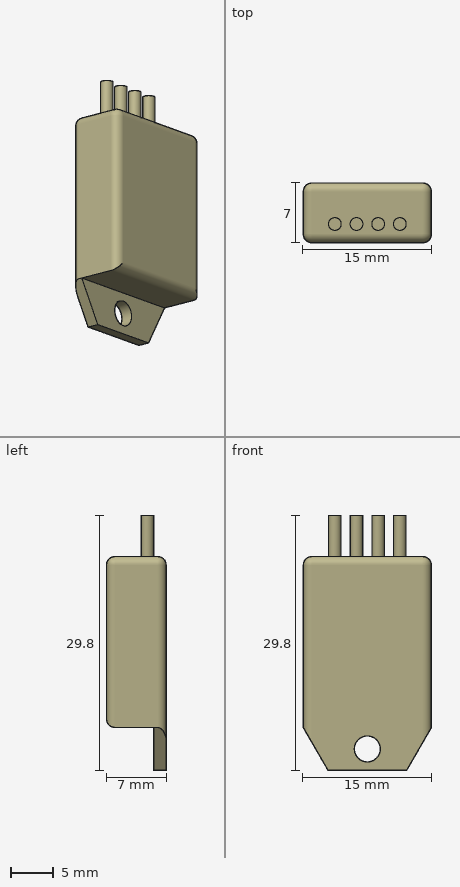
import cadquery as cq
import math

total_height = 29.8
body_width = 15.0
body_depth = 7.0
body_height = 20.0
edge_radius = 1.0

tab_height = 5.0
tab_thickness = 1.5
tab_taper_angle = 30.0
hole_diameter = 3.0
hole_height = 2.5

pin_count = 4
pin_diameter = 1.5
pin_pitch = 2.53
pin_setback = 2.2

body_top = tab_height + body_height
front_y = -body_depth / 2
back_y = body_depth / 2


def make_housing():
    """Box with a front plate running down below it, rounded on its outer edges."""
    profile = [
        (front_y, 0),
        (front_y, body_top),
        (back_y, body_top),
        (back_y, tab_height),
        (front_y + tab_thickness, tab_height),
        (front_y + tab_thickness, 0),
    ]
    block = (
        cq.Workplane("YZ")
        .polyline(profile)
        .close()
        .extrude(body_width / 2, both=True)
    )
    top_edges = block.faces(">Z").edges()
    back_edges = block.faces(">Y").edges()
    front_side_edges = block.faces("<Y").edges("|Z")
    return top_edges.add(back_edges).add(front_side_edges).fillet(edge_radius)


def make_front_outline():
    """Prism whose lower corners are tapered to shape the mounting tab."""
    half_width = body_width / 2
    half_tip = half_width - tab_height * math.tan(math.radians(tab_taper_angle))
    outline = [
        (-half_tip, 0),
        (half_tip, 0),
        (half_width, tab_height),
        (half_width, body_top),
        (-half_width, body_top),
        (-half_width, tab_height),
    ]
    return (
        cq.Workplane("XZ")
        .polyline(outline)
        .close()
        .extrude(body_depth / 2, both=True)
    )


def make_hole():
    """Round through hole in the mounting tab."""
    return (
        cq.Workplane("XZ", origin=(0, 0, hole_height))
        .circle(hole_diameter / 2)
        .extrude(body_depth / 2)
    )


def make_pins():
    """Evenly spaced row of round pins standing on the top face."""
    return (
        cq.Workplane("XY", origin=(0, front_y + pin_setback, body_top))
        .rarray(pin_pitch, 0.3, pin_count, 1)
        .circle(pin_diameter / 2)
        .extrude(total_height - body_top)
    )


housing = make_housing().intersect(make_front_outline())
result = housing.cut(make_hole()).union(make_pins())